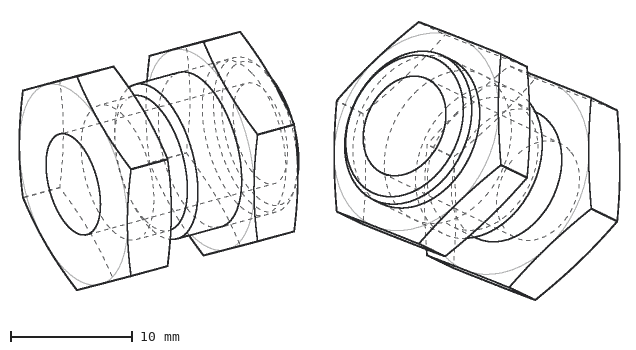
import cadquery as cq
import math

across_flats = 17.0
corner_diameter = 19.6
hex_thickness = 4.23
hex_chamfer_angle = 15.0

total_length = 18.0
bore_diameter = 8.57
neck_diameter = 11.45
shank_diameter = 13.15
shank_start = 7.49
shank_cone_length = 0.49
end_chamfer = 0.49

nut_setback = 1.57
nut_start = total_length - nut_setback - hex_thickness


def revolve_about_y(profile):
    """Turn a closed (radius, Y) profile around the Y axis."""
    return cq.Workplane("XY").polyline(profile).close().revolve(360, (0, 0, 0), (0, 1, 0))


def cylinder_along_y(diameter, length, start):
    radius = diameter / 2
    return revolve_about_y([(0, start), (radius, start), (radius, start + length), (0, start + length)])


def chamfered_hexagon(start):
    """Hexagonal prism with both ends chamfered by a cone."""
    sharp_corner_diameter = across_flats / math.cos(math.radians(30))
    end = start + hex_thickness
    prism = (
        cq.Workplane("XZ", origin=(0, start, 0))
        .transformed(rotate=(0, 0, 90))
        .polygon(6, sharp_corner_diameter)
        .extrude(-hex_thickness)
    )
    face_radius = across_flats / 2
    corner_radius = corner_diameter / 2
    chamfer_depth = (corner_radius - face_radius) * math.tan(math.radians(hex_chamfer_angle))
    envelope = revolve_about_y([
        (0, start),
        (face_radius, start),
        (corner_radius, start + chamfer_depth),
        (corner_radius, end - chamfer_depth),
        (face_radius, end),
        (0, end),
    ])
    return prism.intersect(envelope)


def make_hollow_screw():
    """Hexagon head, neck and shank with a bore right through."""
    neck_radius = neck_diameter / 2
    shank_radius = shank_diameter / 2
    stem = revolve_about_y([
        (0, 0),
        (neck_radius, 0),
        (neck_radius, shank_start),
        (shank_radius, shank_start + shank_cone_length),
        (shank_radius, total_length - end_chamfer),
        (shank_radius - end_chamfer, total_length),
        (0, total_length),
    ])
    bore = cylinder_along_y(bore_diameter, total_length, 0)
    return chamfered_hexagon(0).union(stem).cut(bore)


def make_nut():
    """Hexagon nut that fits closely on the shank."""
    hole = cylinder_along_y(shank_diameter, hex_thickness, nut_start)
    return chamfered_hexagon(nut_start).cut(hole)


hollow_screw = make_hollow_screw()
nut = make_nut()

result = cq.Compound.makeCompound([hollow_screw.val(), nut.val()])